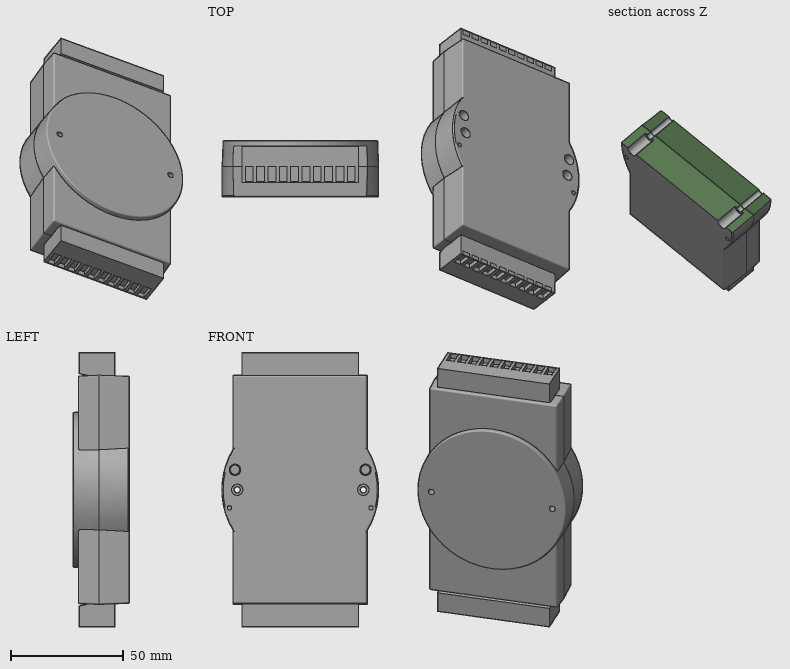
import cadquery as cq
import math

plate_width = 60.0
plate_height = 102.0
disc_radius = 34.9
base_depth = 13.5
cover_depth = 9.2
disc_depth = 11.5
draft_angle = 2.0
corner_radius = 0.6
base_edge_radius = 0.6
cover_edge_radius = 0.9
disc_edge_radius = 0.6

overall_height = 122.0
block_width = 52.0
block_front = -7.1
block_back = 8.8
relief_start = 5.0
relief_rise = 0.9

slot_count = 10
slot_row_length = 45.4
slot_width = 3.5
slot_length = 6.6
slot_depth = 2.3

screw_x = 28.0
screw_diameter = 2.7
counterbore_diameter = 5.0
counterbore_depth = 11.0
socket_x = 29.0
socket_z = 8.9
socket_diameter = 5.0
socket_depth = 12.2
dimple_x = 31.5
dimple_z = -8.0
dimple_diameter = 2.0
dimple_depth = 2.5

half_height = plate_height / 2
block_top = overall_height / 2
draft_slope = math.tan(math.radians(draft_angle))


def drafted_plate(depth):
    """Corner-rounded plate that narrows away from y = 0; a negative depth runs toward +Y."""
    plate = cq.Workplane("XZ").rect(plate_width, plate_height).extrude(depth, taper=draft_angle)
    return plate.edges("not(#Y)").fillet(corner_radius)


def straight_disc(depth):
    """Disc that runs straight toward -Y from y = 0."""
    return cq.Workplane("XZ").circle(disc_radius).extrude(depth)


def drafted_disc(depth):
    """Disc that narrows toward +Y from y = 0."""
    return cq.Workplane("XZ").circle(disc_radius).extrude(-depth, taper=draft_angle)


def pair(x, z, y):
    """Workplane facing -Y with a point on either side of the centre line."""
    plane = cq.Workplane("XZ", origin=(0, y, 0))
    return plane.pushPoints([(-x, z), (x, z)])


def terminal_block():
    """Upper block; its underside lies on the cover's end, then rises clear of it."""
    relief_z = half_height - relief_start * draft_slope
    profile = [
        (block_front, block_top),
        (block_front, half_height + block_front * draft_slope),
        (0, half_height),
        (relief_start, relief_z),
        (block_back, relief_z + relief_rise),
        (block_back, block_top),
    ]
    block = cq.Workplane("YZ").polyline(profile).close().extrude(block_width / 2, both=True)
    slots = (
        cq.Workplane("XY", origin=(0, -slot_length / 2, block_top))
        .rarray(slot_row_length / (slot_count - 1), 1.2, slot_count, 1)
        .rect(slot_width, slot_length)
        .extrude(-slot_depth)
    )
    return block.cut(slots)


def screw_holes():
    """Through holes over the full thickness of both halves."""
    return pair(screw_x, 0, disc_depth).circle(screw_diameter / 2).extrude(base_depth + disc_depth)


def front_pockets():
    """Counterbores, drafted sockets and small dimples sunk from the front face."""
    counterbores = pair(screw_x, 0, -base_depth).circle(counterbore_diameter / 2)
    counterbores = counterbores.extrude(-counterbore_depth)
    sockets = pair(socket_x, socket_z, -base_depth).circle(socket_diameter / 2)
    sockets = sockets.extrude(-socket_depth, taper=draft_angle)
    dimples = pair(dimple_x, dimple_z, -base_depth).circle(dimple_diameter / 2).extrude(-dimple_depth)
    return counterbores.union(sockets).union(dimples)


def make_base():
    """Front half with the two terminal blocks."""
    body = drafted_plate(base_depth).union(straight_disc(base_depth))
    body = body.faces("<Y").edges().fillet(base_edge_radius)
    upper_block = terminal_block()
    body = body.union(upper_block).union(upper_block.mirror("XY"))
    return body.cut(front_pockets()).cut(screw_holes())


def make_cover():
    """Rear half with the raised round part."""
    plate = drafted_plate(-cover_depth).faces(">Y").edges().fillet(cover_edge_radius)
    round_part = drafted_disc(disc_depth).faces(">Y").edges().fillet(disc_edge_radius)
    return plate.union(round_part).cut(screw_holes())


base = make_base()
cover = make_cover()
result = cq.Compound.makeCompound([base.val(), cover.val()])